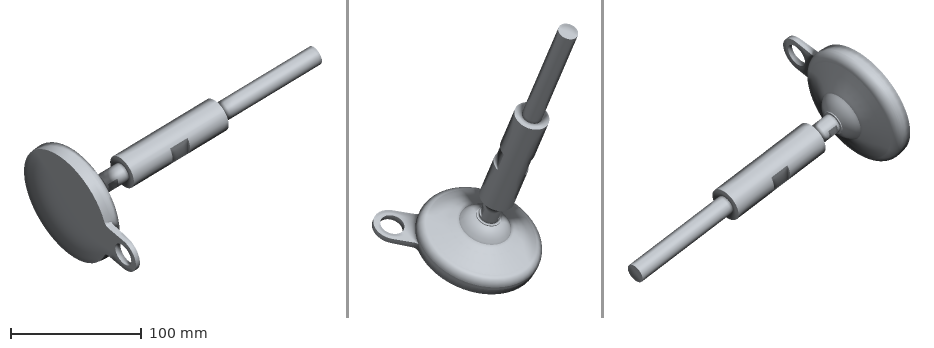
import cadquery as cq
import math

total_length = 250.0

foot_radius = 50.0
sole_radius = 49.2
rim_bottom = 6.0
rim_top = 9.0
shoulder_radius = 43.2
shoulder_height = 15.8
shoulder_mid_radius = 47.5
shoulder_mid_height = 13.8
flank_mid_radius = 31.8
flank_mid_height = 20.0
dome_base_radius = 20.8
dome_base_height = 25.0
dome_sphere_radius = 25.0
dome_top_height = 34.0
collar_top = 34.8
boss_top = 35.5

lug_radius = 15.0
lug_center_x = 68.0
lug_hole_diameter = 19.0
lug_root_height = 5.5
lug_tip_height = 4.0
lug_fillet = 5.0

stem_radius = 8.0
stem_flat_width = 13.0
stem_flat_start = 37.0
stem_flat_length = 9.0

sleeve_radius = 14.0
sleeve_start = 56.5
sleeve_length = 95.0
sleeve_flat_width = 22.0
sleeve_flat_length = 17.5


def cylinder(radius, start, length):
    """Cylinder on the Y axis from y = start."""
    return cq.Workplane("XZ", origin=(0, start, 0)).circle(radius).extrude(-length)


def cut_wrench_flats(body, radius, flat_width, start, length):
    """Cut two flats, facing -X and +X, into a round body."""
    depth = radius - flat_width / 2
    for side in (-1, 1):
        cutter = cq.Workplane("XY").box(depth, length, 2 * radius)
        cutter = cutter.translate((side * (radius - depth / 2), start + length / 2, 0))
        body = body.cut(cutter)
    return body


def make_foot_disc():
    """Revolved foot: drafted sole edge, rim, rounded shoulder, hollow flank, dome, collar and boss."""
    sphere_y = dome_base_height - math.sqrt(dome_sphere_radius**2 - dome_base_radius**2)
    dome_top_radius = math.sqrt(dome_sphere_radius**2 - (dome_top_height - sphere_y) ** 2)
    mid_angle = (
        math.atan2(dome_base_height - sphere_y, dome_base_radius)
        + math.atan2(dome_top_height - sphere_y, dome_top_radius)
    ) / 2
    dome_mid = (
        dome_sphere_radius * math.cos(mid_angle),
        sphere_y + dome_sphere_radius * math.sin(mid_angle),
    )
    profile = (
        cq.Workplane("XY")
        .lineTo(sole_radius, 0)
        .lineTo(foot_radius, rim_bottom)
        .lineTo(foot_radius, rim_top)
        .threePointArc((shoulder_mid_radius, shoulder_mid_height), (shoulder_radius, shoulder_height))
        .threePointArc((flank_mid_radius, flank_mid_height), (dome_base_radius, dome_base_height))
        .threePointArc(dome_mid, (dome_top_radius, dome_top_height))
        .lineTo(dome_top_radius, collar_top)
        .lineTo(stem_radius, collar_top)
        .lineTo(stem_radius, boss_top)
        .lineTo(0, boss_top)
        .close()
    )
    return profile.revolve(360, (0, 0, 0), (0, 1, 0))


def make_lug():
    """Lug with concave root corners, a round end and a top that slopes down to the tip."""
    fillet_z = lug_radius + lug_fillet
    fillet_x = math.sqrt((sole_radius + lug_fillet) ** 2 - fillet_z**2)
    root_angle = math.atan2(fillet_z, fillet_x)
    root_x = sole_radius * math.cos(root_angle)
    root_z = sole_radius * math.sin(root_angle)
    mid_angle = (root_angle + math.pi + 1.5 * math.pi) / 2
    mid_x = fillet_x + lug_fillet * math.cos(mid_angle)
    mid_z = fillet_z + lug_fillet * math.sin(mid_angle)
    lug_tip_x = lug_center_x + lug_radius

    outline = (
        cq.Workplane("XZ")
        .moveTo(0, root_z)
        .lineTo(root_x, root_z)
        .threePointArc((mid_x, mid_z), (fillet_x, lug_radius))
        .lineTo(lug_center_x, lug_radius)
        .threePointArc((lug_tip_x, 0), (lug_center_x, -lug_radius))
        .lineTo(fillet_x, -lug_radius)
        .threePointArc((mid_x, -mid_z), (root_x, -root_z))
        .lineTo(0, -root_z)
        .close()
        .extrude(-lug_root_height)
    )
    side_profile = (
        cq.Workplane("XY")
        .lineTo(lug_tip_x, 0)
        .lineTo(lug_tip_x, lug_tip_height)
        .lineTo(foot_radius, lug_root_height)
        .lineTo(0, lug_root_height)
        .close()
        .extrude(foot_radius, both=True)
    )
    hole = cylinder(lug_hole_diameter / 2, 0, lug_root_height).translate((lug_center_x, 0, 0))
    return outline.intersect(side_profile).cut(hole)


def make_foot():
    return make_foot_disc().union(make_lug())


def make_stem():
    """Rod standing on the foot's boss, with wrench flats near its lower end."""
    rod = cylinder(stem_radius, boss_top, total_length - boss_top)
    return cut_wrench_flats(rod, stem_radius, stem_flat_width, stem_flat_start, stem_flat_length)


def make_sleeve():
    """Tube around the stem, with wrench flats at mid length."""
    tube = cylinder(sleeve_radius, sleeve_start, sleeve_length)
    tube = tube.cut(cylinder(stem_radius, sleeve_start, sleeve_length))
    flat_start = sleeve_start + (sleeve_length - sleeve_flat_length) / 2
    return cut_wrench_flats(tube, sleeve_radius, sleeve_flat_width, flat_start, sleeve_flat_length)


foot = make_foot()
stem = make_stem()
sleeve = make_sleeve()

result = cq.Compound.makeCompound([foot.solids().val(), stem.solids().val(), sleeve.solids().val()])